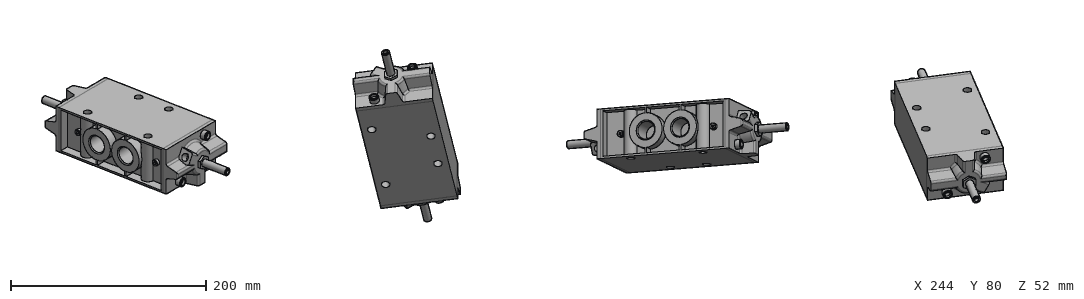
import cadquery as cq
import math

LENGTH = 244.0
DEPTH = 80.0
HEIGHT = 52.0

BODY_END = 69.0
PLATE_FACE = 73.2
CAP_FACE = 88.0
NUT_FACE = 91.0

POCKET_DEPTH = 10.7
FRAME_WALL = 2.2
FRAME_END_WALL = 2.5
RIB_THICKNESS = 2.0
PORT_SPACING = 38.0
PORT_BOSS_DIAMETER = 36.4
PORT_HOLE_DIAMETER = 18.5
PORT_CHAMFER = 1.2
PORT_HOLE_DEPTH = 24.5
PIN_SPACING = 102.5
PIN_SHIFT = 1.0
PIN_DIAMETER = 6.8
PIN_HEIGHT = 4.0
PIN_CHAMFER = 0.5
PIN_HOLE_DIAMETER = 2.5
PIN_HOLE_DEPTH = 2.5

MOUNT_HOLE_DIAMETER = 8.5
MOUNT_COLUMN_DIAMETER = 14.2
MOUNT_HOLE_Y = 29.0
FRONT_MOUNT_SPACING = 80.0
REAR_MOUNT_SPACING = 40.0

WIDE_RIB_TIP = 5.5
NARROW_RIB_TIP = 3.7
HUB_TIP_RADIUS = 14.2
DRAFT_WIDENING = 4.0
CAP_FILLET = 2.5
RIB_END_ROUND = 1.5

LUG_TILT = 30.0
LUG_REACH = 21.5
LUG_TIP = 6.5
LUG_DRAFT_WIDENING = 2.0
LUG_FILLET = 2.0
LUG_HOLE_DIAMETER = 8.0
LUG_HOLE_DEPTH = 9.3

SCREW_Y = 20.0
SCREW_Z = 18.5
SCREW_HEAD_DIAMETER = 10.0
SCREW_HEAD_HEIGHT = 6.0
SCREW_CHAMFER = 0.7
SCREW_SOCKET_DIAMETER = 6.0
SCREW_SOCKET_DEPTH = 3.0
NUT_ACROSS_FLATS = 13.2
ROD_DIAMETER = 8.5
ROD_CHAMFER = 0.7
ROD_HOLE_DIAMETER = 4.1
ROD_HOLE_DEPTH = 5.0
DRILL_POINT_ANGLE = 118.0

FRONT = -DEPTH / 2
POCKET_FLOOR = FRONT + POCKET_DEPTH


def drill(diameter, depth, start_x, y, z):
    """Cutter for a blind hole entering toward +X, with a conical drill point."""
    radius = diameter / 2
    point = radius / math.tan(math.radians(DRILL_POINT_ANGLE / 2))
    return (
        cq.Workplane("XY")
        .polyline([(0, 0), (0, radius), (depth, radius), (depth + point, 0)])
        .close()
        .revolve(360, (0, 0, 0), (1, 0, 0))
        .translate((start_x, y, z))
    )


def front_cylinder(diameter, x, start_y, end_y):
    """Cylinder along Y between two depths."""
    return (
        cq.Workplane("XZ", origin=(x, end_y, 0))
        .circle(diameter / 2)
        .extrude(end_y - start_y)
    )


def make_body():
    body = cq.Workplane("XY").box(2 * BODY_END, DEPTH, HEIGHT)
    pocket = cq.Workplane("XY").box(
        2 * (BODY_END - FRAME_END_WALL), POCKET_DEPTH, HEIGHT - 2 * FRAME_WALL
    ).translate((0, FRONT + POCKET_DEPTH / 2, 0))
    body = body.cut(pocket)

    front_mounts = [(side * FRONT_MOUNT_SPACING / 2, -MOUNT_HOLE_Y) for side in (-1, 1)]
    rear_mounts = [(side * REAR_MOUNT_SPACING / 2, MOUNT_HOLE_Y) for side in (-1, 1)]
    columns = (
        cq.Workplane("XY", origin=(0, 0, -HEIGHT / 2))
        .pushPoints(front_mounts)
        .circle(MOUNT_COLUMN_DIAMETER / 2)
        .extrude(HEIGHT)
    )
    body = body.union(columns)

    for side in (-1, 1):
        port_x = side * PORT_SPACING / 2
        rib = cq.Workplane("XY").box(RIB_THICKNESS, POCKET_DEPTH, HEIGHT)
        body = body.union(rib.translate((port_x, FRONT + POCKET_DEPTH / 2, 0)))
        body = body.union(front_cylinder(PORT_BOSS_DIAMETER, port_x, FRONT, POCKET_FLOOR))
        hole = front_cylinder(PORT_HOLE_DIAMETER, port_x, FRONT, FRONT + PORT_HOLE_DEPTH)
        countersink = cq.Workplane(cq.Solid.makeCone(
            PORT_HOLE_DIAMETER / 2 + PORT_CHAMFER,
            PORT_HOLE_DIAMETER / 2,
            PORT_CHAMFER,
            pnt=cq.Vector(port_x, FRONT, 0),
            dir=cq.Vector(0, 1, 0),
        ))
        body = body.cut(hole).cut(countersink)

        pin_x = PIN_SHIFT + side * PIN_SPACING / 2
        pin_top = POCKET_FLOOR - PIN_HEIGHT
        pin = front_cylinder(PIN_DIAMETER, pin_x, pin_top, POCKET_FLOOR)
        pin = pin.faces("<Y").chamfer(PIN_CHAMFER)
        pin_hole = front_cylinder(PIN_HOLE_DIAMETER, pin_x, pin_top, pin_top + PIN_HOLE_DEPTH)
        body = body.union(pin.cut(pin_hole))

    mount_holes = (
        cq.Workplane("XY", origin=(0, 0, -HEIGHT / 2))
        .pushPoints(front_mounts + rear_mounts)
        .circle(MOUNT_HOLE_DIAMETER / 2)
        .extrude(HEIGHT)
    )
    return body.cut(mount_holes)


def half_section(tip):
    """Half of a drafted section: rounded at the cap face, filleted into the plate."""
    draft = math.atan2(DRAFT_WIDENING, CAP_FACE - PLATE_FACE)
    setback = CAP_FILLET * math.tan((math.pi / 2 - draft) / 2)
    along_x = setback * math.cos(draft)
    along_y = setback * math.sin(draft)
    root = tip + DRAFT_WIDENING
    return (
        cq.Workplane("XY")
        .moveTo(-BODY_END, 0)
        .lineTo(-CAP_FACE, 0)
        .lineTo(-CAP_FACE, tip - setback)
        .tangentArcPoint((-CAP_FACE + along_x, tip + along_y), relative=False)
        .lineTo(-PLATE_FACE - along_x, root - along_y)
        .tangentArcPoint((-PLATE_FACE, root + setback), relative=False)
        .lineTo(-BODY_END, root + setback)
        .close()
    )


def make_rib(tip, reach):
    """Drafted rib running from the rod axis upward."""
    half = half_section(tip).extrude(reach)
    return half.union(half.mirror("XZ"))


def turn(part, angle):
    """Turn a feature about the rod axis, +90 degrees taking +Z to -Y."""
    return part.rotate((0, 0, 0), (1, 0, 0), angle)


def make_lug():
    """Drafted block around the side port, reaching upward from the rod axis."""
    root = LUG_TIP + LUG_DRAFT_WIDENING
    outline = [
        (-CAP_FACE, -LUG_TIP),
        (-CAP_FACE, LUG_TIP),
        (-PLATE_FACE, root),
        (-PLATE_FACE, -root),
    ]
    block = (
        cq.Workplane("XY")
        .polyline(outline)
        .close()
        .extrude(LUG_REACH)
    )
    return block.edges("|Z and <X").fillet(LUG_FILLET)


def make_screw(y, z):
    tip_x = -PLATE_FACE - SCREW_HEAD_HEIGHT
    head = (
        cq.Workplane("YZ", origin=(tip_x, y, z))
        .circle(SCREW_HEAD_DIAMETER / 2)
        .extrude(SCREW_HEAD_HEIGHT)
        .faces("<X")
        .chamfer(SCREW_CHAMFER)
    )
    return head.cut(drill(SCREW_SOCKET_DIAMETER, SCREW_SOCKET_DEPTH, tip_x, y, z))


def make_rod_and_nut():
    nut = (
        cq.Workplane("YZ", origin=(-NUT_FACE, 0, 0))
        .polygon(6, NUT_ACROSS_FLATS, circumscribed=True)
        .extrude(NUT_FACE - CAP_FACE)
    )
    rod = (
        cq.Workplane("YZ", origin=(-LENGTH / 2, 0, 0))
        .circle(ROD_DIAMETER / 2)
        .extrude(LENGTH / 2 - CAP_FACE)
        .faces("<X")
        .chamfer(ROD_CHAMFER)
    )
    return nut.union(rod).cut(drill(ROD_HOLE_DIAMETER, ROD_HOLE_DEPTH, -LENGTH / 2, 0, 0))


def make_end():
    """Complete -X end: plate, ribbed cap, side port, screws, nut and rod."""
    plate_thickness = PLATE_FACE - BODY_END
    end = cq.Workplane("XY").box(plate_thickness, DEPTH, HEIGHT)
    end = end.translate((-BODY_END - plate_thickness / 2, 0, 0))

    end = end.union(make_rib(WIDE_RIB_TIP, HEIGHT / 2))
    end = end.union(turn(make_rib(WIDE_RIB_TIP, DEPTH / 2), -90))
    front_rib = make_rib(NARROW_RIB_TIP, DEPTH / 2)
    end_trim = (
        cq.Workplane("XY")
        .box(2 * CAP_FACE, DEPTH, DEPTH)
        .edges("|Y and <X and >Z")
        .fillet(RIB_END_ROUND)
    )
    front_rib = front_rib.intersect(end_trim)
    end = end.union(turn(front_rib, 90))
    end = end.union(half_section(HUB_TIP_RADIUS).revolve(360, (0, 0, 0), (1, 0, 0)))

    lug_angle = 90 + LUG_TILT
    end = end.union(turn(make_lug(), lug_angle))
    side_port = (
        cq.Workplane("XY", origin=(-(PLATE_FACE + CAP_FACE) / 2, 0, LUG_REACH - LUG_HOLE_DEPTH))
        .circle(LUG_HOLE_DIAMETER / 2)
        .extrude(LUG_HOLE_DEPTH)
    )
    end = end.cut(turn(side_port, lug_angle))

    end = end.union(make_screw(-SCREW_Y, SCREW_Z)).union(make_screw(SCREW_Y, -SCREW_Z))
    return end.union(make_rod_and_nut())


left_end = make_end()
right_end = left_end.rotate((0, 0, 0), (0, 1, 0), 180)
result = make_body().union(left_end, clean=False).union(right_end, clean=False)